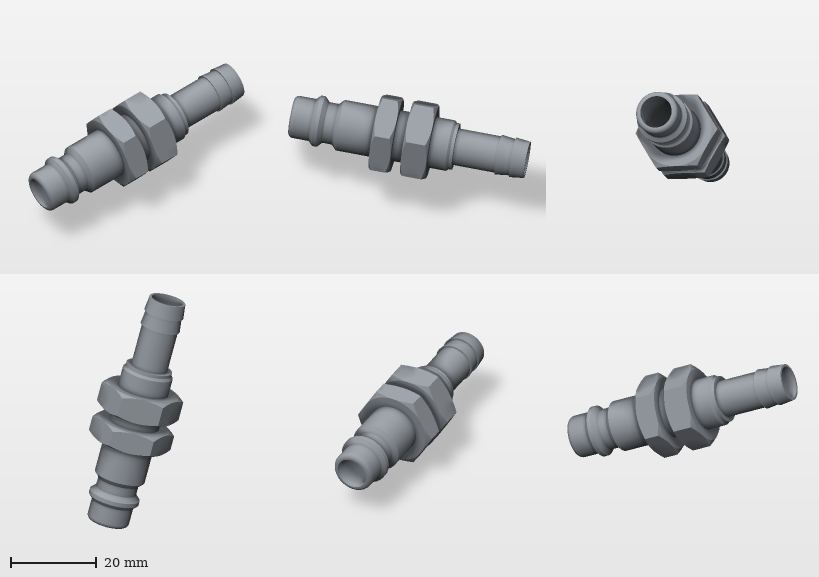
import cadquery as cq
import math

length = 56.0
front_y = -length / 2
back_y = length / 2

bore_radius = 3.75
lip_radius = 3.9
plug_radius = 5.0
neck_radius = 4.8
shank_radius = 6.0
step_radius = 5.5
tail_radius = 4.3
barb_radius = 4.7

tip_rounding = plug_radius - lip_radius
collar_start = 5.0
collar_crest_start = 6.0
collar_crest_end = 7.0
collar_end = 8.2
shank_chamfer_start = 10.4
shank_start = 11.6

barb_pitch = 3.4
barb_count = 2
step_end = 16.9
shank_chamfer_end = 17.65
shank_end = 18.25

across_flats = 17.0
hex_chamfer_angle = 30.0
flange_thickness = 6.0
flange_start = 27.5
nut_thickness = 5.0
nut_start = 20.0


def hexagon(start, thickness):
    """Hexagonal prism along Y with corners on +/-X and both ends chamfered."""
    flat_radius = across_flats / 2
    corner_radius = flat_radius / math.cos(math.pi / 6)
    chamfer_depth = (corner_radius - flat_radius) * math.tan(math.radians(hex_chamfer_angle))
    end = start + thickness
    prism = (
        cq.Workplane("XZ", origin=(0, start, 0))
        .polygon(6, 2 * corner_radius)
        .extrude(-thickness)
    )
    chamfer_envelope = (
        cq.Workplane("XY")
        .moveTo(0, start)
        .lineTo(flat_radius, start)
        .lineTo(corner_radius, start + chamfer_depth)
        .lineTo(corner_radius, end - chamfer_depth)
        .lineTo(flat_radius, end)
        .lineTo(0, end)
        .close()
        .revolve(360, (0, 0, 0), (0, 1, 0))
    )
    return prism.intersect(chamfer_envelope)


def turned_body():
    """Bored body of revolution: plug, locking collar, shank and barbed tail."""
    arc_offset = tip_rounding * math.sqrt(0.5)
    profile = (
        cq.Workplane("XY")
        .moveTo(bore_radius, front_y)
        .lineTo(lip_radius, front_y)
        .threePointArc(
            (lip_radius + arc_offset, front_y + tip_rounding - arc_offset),
            (plug_radius, front_y + tip_rounding),
        )
        .lineTo(plug_radius, front_y + collar_start)
        .lineTo(shank_radius, front_y + collar_crest_start)
        .lineTo(shank_radius, front_y + collar_crest_end)
        .lineTo(neck_radius, front_y + collar_end)
        .lineTo(neck_radius, front_y + shank_chamfer_start)
        .lineTo(shank_radius, front_y + shank_start)
        .lineTo(shank_radius, back_y - shank_end)
        .lineTo(step_radius, back_y - shank_chamfer_end)
        .lineTo(step_radius, back_y - step_end)
        .lineTo(tail_radius, back_y - step_end)
        .lineTo(tail_radius, back_y - barb_count * barb_pitch)
    )
    for barb in range(barb_count, 0, -1):
        shoulder_y = back_y - barb * barb_pitch
        profile = (
            profile
            .lineTo(barb_radius, shoulder_y)
            .lineTo(tail_radius, shoulder_y + barb_pitch)
        )
    return profile.lineTo(bore_radius, back_y).close().revolve(360, (0, 0, 0), (0, 1, 0))


def fitting_body():
    """Turned body with its hexagonal flange."""
    bore = cq.Workplane("XZ", origin=(0, front_y, 0)).circle(bore_radius).extrude(-length)
    flange = hexagon(front_y + flange_start, flange_thickness).cut(bore)
    return turned_body().union(flange)


def lock_nut():
    """Hexagonal nut fitting closely around the shank."""
    nut_y = front_y + nut_start
    hole = cq.Workplane("XZ", origin=(0, nut_y, 0)).circle(shank_radius).extrude(-nut_thickness)
    return hexagon(nut_y, nut_thickness).cut(hole)


body = fitting_body()
nut = lock_nut()
result = cq.Compound.makeCompound([body.val(), nut.val()])